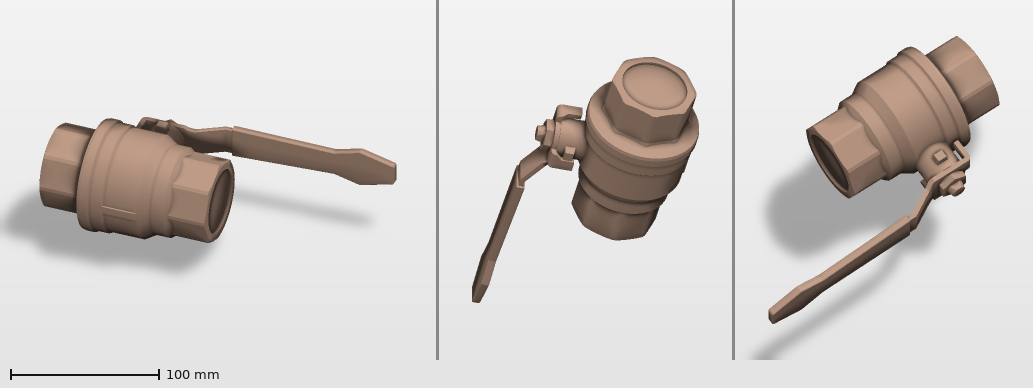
import cadquery as cq
import math


total_length = 219.0
body_length = 120.2
flange_radius = 38.7

octagon_apothem = 27.4
corner_radius = 29.1
left_octagon_end = 25.8
flare_length = 2.5
flare_offset = 1.3
end_chamfer_length = 0.9
end_face_radius = 27.1
socket_radius = 22.5
socket_depth = 2.2

flange_cone_start = 27.1
flange_cone_end = 30.9
flange_edge_radius = 38.0
flange_start = 33.0
flange_end = 38.3
flange_chamfer = 1.3
collar_radius = 37.5
collar_end = 48.2
pad_radius = 36.1
pad_start = 49.7
pad_end = 73.3
neck_radius = 31.3
neck_start = 81.2
neck_end = 91.0
neck_cone_end = 95.2
rib_width = 5.3

stem_x = 60.9
stem_radius = 13.4
plate_bottom = 53.5
plate_thickness = 3.5
plate_top = plate_bottom + plate_thickness
stem_fillet = 1.0
boss_base_z = 10.5
boss_reach = 18.4
boss_top_y = 48.2
boss_base_height = 7.2
boss_tip_height = 6.0
boss_base_width = 9.2
boss_tip_width = 6.5
nut_across_flats = 18.5
nut_top = 62.4
nut_chamfer = 0.9
stud_radius = 6.0
stud_flats = 9.2
stud_top = 67.5
stud_tip_radius = 4.8
stud_taper_start = 63.3

tab_reach = 18.2
tab_bottom = 40.0
tab_inner = 4.4
tab_outer = 12.5
tab_gusset = 4.0
tab_corner_radius = 1.3
arm_bend_radius = 3.3
arm_bend_x = 75.0
arm_top_bend_x = 97.6
arm_rise = 13.0
arm_half_width = 9.2
arm_narrow_x = 80.0

grip_start = 103.3
arm_insertion = 2.2
grip_start_bottom = 65.5
grip_thickness = 5.5
grip_end_top = 74.6
grip_start_half = 11.0
grip_waist_x = 176.2
grip_waist_half = 8.8
grip_bulge_x = 194.5
grip_bulge_half = 13.8
grip_end_half = 7.2
grip_corner_radius = 1.8
grip_edge_chamfer = 0.5


def turned(points):
    """Solid of revolution about X from (x, radius) points, closed along the axis."""
    outline = [(points[0][0], 0)] + points + [(points[-1][0], 0)]
    return cq.Workplane("XY").polyline(outline).close().revolve(360, (0, 0), (1, 0))


def turned_on_stem(points):
    """Solid of revolution about the stem axis from (radius, y) points."""
    outline = [(0, points[0][1])] + points + [(0, points[-1][1])]
    profile = cq.Workplane("XY", origin=(stem_x, 0, 0)).polyline(outline).close()
    return profile.revolve(360, (0, 0), (0, 1))


def y_prism(points, bottom, top):
    """Prism standing along Y on an outline of (x, z) points."""
    return cq.Workplane("XZ").workplane(offset=-bottom).polyline(points).close().extrude(bottom - top)


def z_prism(points, half_width):
    """Prism along Z, centred on Z = 0, from an outline of (x, y) points."""
    return cq.Workplane("XY").polyline(points).close().extrude(half_width, both=True)


def octagon_points(offset=0.0):
    """Octagon with a corner on each axis, every corner cut by a narrow flat."""
    corner_half_angle = math.pi / 8 - math.acos(octagon_apothem / corner_radius)
    radius = corner_radius + offset
    angles = []
    for corner in range(8):
        middle = corner * math.pi / 4
        angles += [middle - corner_half_angle, middle + corner_half_angle]
    return [(radius * math.cos(a), radius * math.sin(a)) for a in angles]


def octagon_bar(start, end):
    return cq.Workplane("YZ").workplane(offset=start).polyline(octagon_points()).close().extrude(end - start)


def octagon_ends():
    bar = octagon_bar(0, body_length)
    envelope = turned([
        (0, end_face_radius),
        (end_chamfer_length, corner_radius),
        (body_length - end_chamfer_length, corner_radius),
        (body_length, end_face_radius),
    ])
    flare = (
        cq.Workplane("YZ").workplane(offset=left_octagon_end)
        .polyline(octagon_points()).close()
        .workplane(offset=flare_length)
        .polyline(octagon_points(flare_offset)).close()
        .loft(ruled=True)
    )
    return bar.intersect(envelope).union(flare)


def turned_body():
    cone_slope = (pad_radius - neck_radius) / (neck_start - pad_end)
    rib_end = pad_end - (collar_radius - pad_radius) / cone_slope
    body = turned([
        (flange_cone_start, octagon_apothem),
        (flange_cone_end, flange_edge_radius),
        (flange_start, flange_radius),
        (flange_end, flange_radius),
        (flange_end + flange_chamfer, collar_radius),
        (rib_end, collar_radius),
        (neck_start, neck_radius),
        (neck_end, neck_radius),
        (neck_cone_end, octagon_apothem),
    ])
    panel_core = turned([
        (collar_end, collar_radius),
        (pad_start, pad_radius),
        (pad_end, pad_radius),
    ])
    panel_waste = turned([(collar_end, flange_radius), (pad_end, flange_radius)]).cut(panel_core)
    rib = cq.Workplane("XY").box(2 * body_length, 2 * flange_radius, rib_width)
    return body.cut(panel_waste.cut(rib))


def socket(x_outer, direction):
    return cq.Workplane("YZ").workplane(offset=x_outer).circle(socket_radius).extrude(direction * socket_depth)


def add_stem_housing(body):
    """Join the stem cylinder to the body and round the corner where they meet."""
    stem = cq.Workplane("XZ", origin=(stem_x, 0, 0)).circle(stem_radius).extrude(-plate_bottom)
    margin = 0.2
    lowest_corner = math.sqrt(pad_radius ** 2 - stem_radius ** 2)
    corner = cq.selectors.BoxSelector(
        (stem_x - stem_radius - margin, lowest_corner - 2.2, -stem_radius - margin),
        (stem_x + stem_radius + margin, collar_radius + margin, stem_radius + margin),
        boundingbox=True,
    )
    return body.union(stem).edges(corner).fillet(stem_fillet)


def stop_boss(side):
    """Tapered stop on the +Z (side = 1) or -Z (side = -1) flank of the stem housing."""
    return (
        cq.Workplane("XY").workplane(offset=side * boss_base_z)
        .center(stem_x, boss_top_y - boss_base_height / 2)
        .rect(boss_base_width, boss_base_height)
        .workplane(offset=side * (boss_reach - boss_base_z))
        .center(0, (boss_base_height - boss_tip_height) / 2)
        .rect(boss_tip_width, boss_tip_height)
        .loft(ruled=True)
    )


def nut_and_stud():
    nut_across_corners = nut_across_flats / math.cos(math.pi / 6)
    nut_corner_radius = nut_across_corners / 2
    nut = (
        cq.Workplane("XZ", origin=(stem_x, plate_top, 0))
        .transformed(rotate=(0, 0, 90))
        .polygon(6, nut_across_corners).extrude(plate_top - nut_top)
    )
    nut_cone = turned_on_stem([
        (nut_across_flats / 2, plate_top),
        (nut_corner_radius, plate_top + nut_chamfer),
        (nut_corner_radius, nut_top),
    ])
    stud = turned_on_stem([
        (stud_radius, plate_bottom),
        (stud_radius, stud_taper_start),
        (stud_tip_radius, stud_top),
    ])
    flats = cq.Workplane("XY").box(total_length, total_length, stud_flats)
    return nut.intersect(nut_cone).union(stud.intersect(flats))


def end_tab():
    """Bent stop tab at -X of the stem, with its strip of plate."""
    outer_x = stem_x - tab_reach
    section = z_prism(
        [
            (outer_x, tab_bottom),
            (outer_x + plate_thickness, tab_bottom),
            (outer_x + plate_thickness, plate_bottom),
            (stem_x, plate_bottom),
            (stem_x, plate_top),
            (outer_x, plate_top),
        ],
        tab_outer,
    ).edges("|Z and <X and >Y").fillet(plate_thickness)
    face = (
        cq.Workplane("YZ").workplane(offset=outer_x)
        .moveTo(plate_top, tab_outer)
        .lineTo(tab_bottom, tab_outer)
        .lineTo(tab_bottom, tab_inner + tab_corner_radius)
        .radiusArc((tab_bottom + tab_corner_radius, tab_inner), -tab_corner_radius)
        .lineTo(plate_bottom - tab_gusset, tab_inner)
        .lineTo(plate_bottom, tab_inner - tab_gusset)
        .lineTo(plate_top, tab_inner - tab_gusset)
        .close().extrude(tab_reach)
    )
    return section.intersect(face)


def side_tab():
    """The same tab a quarter turn round the stem, on the -Z side."""
    mirrored = end_tab().mirror("XY")
    return mirrored.rotate((stem_x, 0, 0), (stem_x, 1, 0), -90)


def lever_plate():
    disc = (
        cq.Workplane("XZ", origin=(stem_x, plate_bottom, 0))
        .circle(tab_outer).extrude(-plate_thickness)
    )
    slope = math.atan2(arm_rise, arm_top_bend_x - arm_bend_x)
    bend_shift = plate_thickness * math.tan(slope / 2)
    ribbon = z_prism(
        [
            (stem_x, plate_bottom),
            (arm_bend_x + bend_shift, plate_bottom),
            (arm_top_bend_x + bend_shift, plate_bottom + arm_rise),
            (grip_start + arm_insertion, plate_bottom + arm_rise),
            (grip_start + arm_insertion, plate_top + arm_rise),
            (arm_top_bend_x, plate_top + arm_rise),
            (arm_bend_x, plate_top),
            (stem_x, plate_top),
        ],
        tab_outer,
    )
    bends = cq.selectors.BoxSelector(
        (stem_x + stem_radius, 0, -total_length),
        (grip_start, total_length, total_length),
    )
    ribbon = ribbon.edges("|Z").edges(bends).fillet(arm_bend_radius)
    plan = y_prism(
        [
            (stem_x, -tab_outer),
            (stem_x + tab_outer, -tab_outer),
            (arm_narrow_x, -arm_half_width),
            (total_length, -arm_half_width),
            (total_length, arm_half_width),
            (arm_narrow_x, arm_half_width),
            (stem_x + tab_outer, tab_outer),
            (stem_x, tab_outer),
        ],
        0,
        total_length,
    )
    return disc.union(ribbon.intersect(plan)).union(end_tab()).union(side_tab())


def grip():
    side = z_prism(
        [
            (grip_start, grip_start_bottom),
            (total_length, grip_end_top - grip_thickness),
            (total_length, grip_end_top),
            (grip_start, grip_start_bottom + grip_thickness),
        ],
        grip_bulge_half,
    )
    upper = [
        (grip_start, grip_start_half),
        (grip_waist_x, grip_waist_half),
        (grip_bulge_x, grip_bulge_half),
        (total_length, grip_end_half),
    ]
    lower = [(x, -z) for x, z in reversed(upper)]
    plan = y_prism(upper + lower, 0, total_length).edges("|Y and >X").fillet(grip_corner_radius)
    return side.intersect(plan).faces("<Y or >Y").chamfer(grip_edge_chamfer)


body = add_stem_housing(octagon_ends().union(turned_body()))
body = body.union(stop_boss(1)).union(stop_boss(-1))
body = body.cut(socket(0, 1)).cut(socket(body_length, -1))
result = body.union(lever_plate()).union(nut_and_stud()).union(grip())